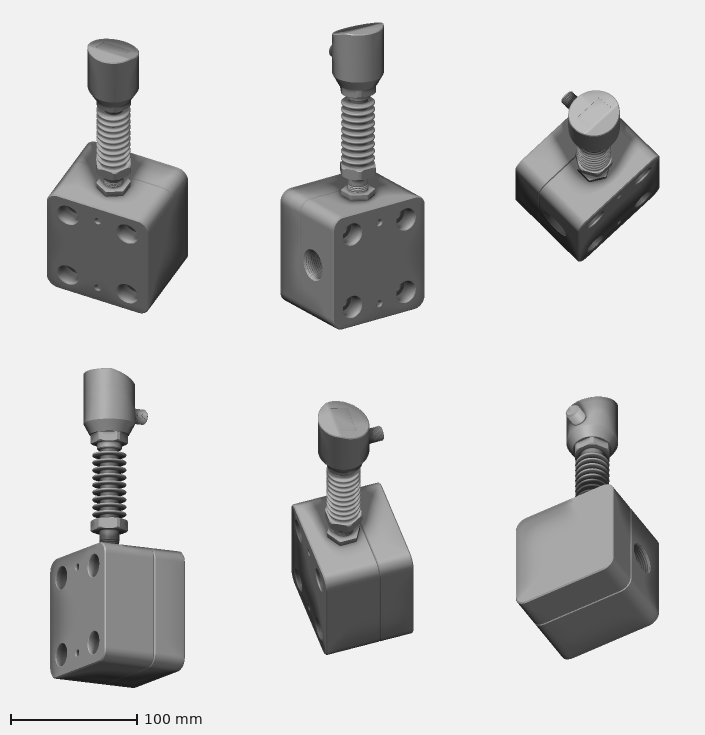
import cadquery as cq
import math


block_width = 90.0
block_height = 97.0
front_depth = 44.9
rear_depth = 28.0
front_face_y = -29.0
split_y = front_face_y + front_depth
block_corner_radius = 10.0
outer_chamfer = 1.0
split_chamfer = 0.7
block_mid_z = block_height / 2

screw_offset_x = 26.0
screw_offset_z = 31.2
counterbore_d = 18.0
counterbore_mouth_d = 19.0
counterbore_depth = 14.6
clearance_d = 11.0
tapped_d = 8.5
tapped_depth = 19.5
drill_point_angle = 118

small_hole_offset_z = 34.9
small_hole_d = 5.0
small_hole_mouth_d = 6.0
small_hole_depth = 9.8

port_major_d = 26.0
port_minor_d = 24.1
port_pitch = 1.8
port_turns = 11
port_y = front_face_y + 27.3

adapter_flats = 24.0
adapter_corner_d = 27.0
adapter_height = 4.9
adapter_top_z = block_height + adapter_height

shaft_d = 15.8
shaft_thread_depth = 0.5
shaft_pitch = 1.5
shaft_turns = 4
neck_hex_flats = 27.0
neck_hex_corner_d = 30.0
hex_chamfer = 1.0
lower_hex_z = 115.5
lower_hex_height = 8.5
core_d = 15.0
fin_d = 27.0
fin_thickness = 2.0
fin_count = 9
fin_pitch = 6.0
first_fin_mid_z = 129.2
root_radius = 0.7
collar_d = 19.7
collar_z = 181.6
collar_chamfer = 0.7
upper_hex_z = 186.5
upper_hex_height = 7.3

head_d = 41.0
housing_z = upper_hex_z + upper_hex_height
housing_base_d = 31.5
cone_top_z = 202.5
ring_z = 223.5
cap_z = 226.5
top_z = 243.8

slope_angle = 20
slope_start_y = -8.3
slope_blend_radius = 6.8
cap_chamfer = 0.7
window_width = 24.6
window_front_y = -6.8
window_rear_y = 7.0
window_depth = 0.2

connector_d = 12.2
connector_thread_depth = 0.7
connector_pitch = 1.0
connector_turns = 10
connector_tip_chamfer = 1.2
connector_tip_y = 32.2
connector_z = 211.4
connector_thread_start_y = connector_tip_y - connector_tip_chamfer - connector_turns * connector_pitch


def cylinder(diameter, bottom_z, height):
    """Upright cylinder on the Z axis."""
    return cq.Workplane("XY", origin=(0, 0, bottom_z)).circle(diameter / 2).extrude(height)


def threaded_cylinder(major_d, minor_d, pitch, turns):
    """Cylinder along +Z from the origin with one V-groove ring per thread turn."""
    profile = cq.Workplane("XZ").lineTo(major_d / 2, 0)
    for turn in range(turns):
        profile = profile.lineTo(minor_d / 2, (turn + 0.5) * pitch)
        profile = profile.lineTo(major_d / 2, (turn + 1) * pitch)
    return profile.lineTo(0, turns * pitch).close().revolve(360, (0, 0), (0, 1))


def trimmed_hexagon(flats, corner_d, height):
    """Hexagon along +Z with corners on +X and -X turned down to corner_d."""
    hexagon = cq.Workplane("XY").polygon(6, flats / math.cos(math.radians(30))).extrude(height)
    return hexagon.intersect(cylinder(corner_d, 0, height))


def blind_drill(diameter, depth):
    """Drill shape running from the origin towards +Y, ending in a conical point."""
    radius = diameter / 2
    point_length = radius / math.tan(math.radians(drill_point_angle / 2))
    profile = cq.Workplane("XY").lineTo(radius, 0).lineTo(radius, depth)
    return profile.lineTo(0, depth + point_length).close().revolve(360, (0, 0), (0, 1))


def countersink(mouth_d, hole_d):
    """45 degree cone running from the origin towards +Y that widens a hole of hole_d to mouth_d."""
    depth = (mouth_d - hole_d) / 2
    return cq.Workplane("XZ").circle(mouth_d / 2).extrude(-depth, taper=45)


def block_half(start_y, depth, front_chamfer, rear_chamfer):
    """Rounded block half that reaches from start_y towards +Y, chamfered at both ends."""
    body = cq.Workplane("XY").box(block_width, depth, block_height)
    body = body.edges("|Y").fillet(block_corner_radius)
    body = body.faces("<Y").chamfer(front_chamfer)
    body = body.faces(">Y").chamfer(rear_chamfer)
    return body.translate((0, start_y + depth / 2, block_mid_z))


def screw_positions():
    """X and Z of the four clamping screws."""
    return [
        (side * screw_offset_x, block_mid_z + level * screw_offset_z)
        for side in (-1, 1)
        for level in (-1, 1)
    ]


def make_front_block():
    body = block_half(front_face_y, front_depth, outer_chamfer, split_chamfer)

    face = cq.Workplane("XZ", origin=(0, front_face_y, 0)).pushPoints(screw_positions())
    body = body.cut(face.circle(clearance_d / 2).extrude(-front_depth))
    body = body.cut(face.circle(counterbore_d / 2).extrude(-counterbore_depth))
    counterbore_mouth = countersink(counterbore_mouth_d, counterbore_d)
    for x, z in screw_positions():
        body = body.cut(counterbore_mouth.translate((x, front_face_y, z)))

    small_hole = blind_drill(small_hole_d, small_hole_depth)
    small_hole = small_hole.union(countersink(small_hole_mouth_d, small_hole_d))
    for level in (-1, 1):
        hole_z = block_mid_z + level * small_hole_offset_z
        body = body.cut(small_hole.translate((0, front_face_y, hole_z)))

    thread = threaded_cylinder(port_minor_d, port_major_d, port_pitch, port_turns)
    thread = thread.rotate((0, 0, 0), (0, 1, 0), 90)
    mouth = countersink(port_major_d, port_minor_d).rotate((0, 0, 0), (0, 0, 1), -90)
    port_mouth_center = (-block_width / 2, port_y, block_mid_z)
    body = body.cut(thread.translate(port_mouth_center))
    return body.cut(mouth.translate(port_mouth_center))


def make_rear_block():
    body = block_half(split_y, rear_depth, split_chamfer, outer_chamfer)
    for x, z in screw_positions():
        body = body.cut(blind_drill(tapped_d, tapped_depth).translate((x, split_y, z)))
    return body


def make_adapter():
    hexagon = trimmed_hexagon(adapter_flats, adapter_corner_d, adapter_height)
    hexagon = hexagon.rotate((0, 0, 0), (0, 0, 1), 90).translate((0, 0, block_height))
    return hexagon.cut(cylinder(shaft_d, block_height, adapter_height))


def neck_hexagon(bottom_z, height, chamfer_top):
    """Wrench hexagon of the neck with turned lower, and optionally upper, corners."""
    hexagon = trimmed_hexagon(neck_hex_flats, neck_hex_corner_d, height)
    turned = cylinder(neck_hex_corner_d, 0, height).faces("<Z").chamfer(hex_chamfer)
    if chamfer_top:
        turned = turned.faces(">Z").chamfer(hex_chamfer)
    return hexagon.intersect(turned).translate((0, 0, bottom_z))


def finned_core():
    """Core between the lower hexagon and the collar, with round-tipped fins and rounded roots."""
    core_z = lower_hex_z + lower_hex_height
    core_r = core_d / 2
    root_r = core_r + root_radius
    tip_r = fin_d / 2
    half_fin = fin_thickness / 2
    root_bulge = root_radius * (1 - math.sqrt(0.5))

    profile = (
        cq.Workplane("XZ")
        .moveTo(0, core_z)
        .lineTo(root_r, core_z)
        .threePointArc((core_r + root_bulge, core_z + root_bulge), (core_r, core_z + root_radius))
    )
    for index in range(fin_count):
        mid_z = first_fin_mid_z + index * fin_pitch
        lower_z = mid_z - half_fin
        upper_z = mid_z + half_fin
        profile = (
            profile.lineTo(core_r, lower_z - root_radius)
            .threePointArc((core_r + root_bulge, lower_z - root_bulge), (root_r, lower_z))
            .lineTo(tip_r - half_fin, lower_z)
            .threePointArc((tip_r, mid_z), (tip_r - half_fin, upper_z))
            .lineTo(root_r, upper_z)
            .threePointArc((core_r + root_bulge, upper_z + root_bulge), (core_r, upper_z + root_radius))
        )
    profile = (
        profile.lineTo(core_r, collar_z - root_radius)
        .threePointArc((core_r + root_bulge, collar_z - root_bulge), (root_r, collar_z))
        .lineTo(0, collar_z)
        .close()
    )
    return profile.revolve(360, (0, 0), (0, 1))


def make_neck():
    thread_top_z = adapter_top_z + shaft_turns * shaft_pitch
    thread_minor_d = shaft_d - 2 * shaft_thread_depth
    thread = threaded_cylinder(shaft_d, thread_minor_d, shaft_pitch, shaft_turns)
    collar = cylinder(collar_d, collar_z, upper_hex_z - collar_z).faces("<Z").chamfer(collar_chamfer)

    neck = cylinder(shaft_d, block_height, adapter_height)
    neck = neck.union(thread.translate((0, 0, adapter_top_z)))
    neck = neck.union(cylinder(shaft_d, thread_top_z, lower_hex_z - thread_top_z))
    neck = neck.union(neck_hexagon(lower_hex_z, lower_hex_height, True))
    neck = neck.union(finned_core())
    neck = neck.union(collar)
    return neck.union(neck_hexagon(upper_hex_z, upper_hex_height, False))


def make_connector():
    """Threaded connector stub along +Y, part of the housing."""
    minor_d = connector_d - 2 * connector_thread_depth
    thread = threaded_cylinder(connector_d, minor_d, connector_pitch, connector_turns)
    thread = thread.rotate((0, 0, 0), (1, 0, 0), -90).translate((0, connector_thread_start_y, 0))
    shank = cq.Workplane("XZ").circle(connector_d / 2).extrude(-connector_thread_start_y)
    tip_y = connector_tip_y - connector_tip_chamfer
    tip = cq.Workplane("XZ", origin=(0, tip_y, 0)).circle(connector_d / 2)
    tip = tip.extrude(-connector_tip_chamfer, taper=45)
    return shank.union(thread).union(tip).translate((0, 0, connector_z))


def make_housing():
    profile = (
        cq.Workplane("XZ")
        .moveTo(0, housing_z)
        .lineTo(housing_base_d / 2, housing_z)
        .lineTo(head_d / 2, cone_top_z)
        .lineTo(head_d / 2, ring_z)
        .lineTo(0, ring_z)
        .close()
    )
    return profile.revolve(360, (0, 0), (0, 1)).union(make_connector())


def make_ring():
    return cylinder(head_d, ring_z, cap_z - ring_z)


def make_cap():
    reach = head_d
    slope = math.radians(slope_angle)
    slope_end_z = top_z - (reach - slope_start_y) * math.tan(slope)
    outline = (
        cq.Workplane("YZ")
        .moveTo(-reach, housing_z)
        .lineTo(-reach, top_z)
        .lineTo(slope_start_y, top_z)
        .lineTo(reach, slope_end_z)
        .lineTo(reach, housing_z)
        .close()
        .extrude(reach, both=True)
    )
    blend_point = (0, slope_start_y, top_z)
    outline = outline.edges(cq.selectors.NearestToPointSelector(blend_point)).fillet(slope_blend_radius)
    cap = cylinder(head_d, cap_z, top_z - cap_z).intersect(outline)
    rim = cap.faces("not <Z").edges("not |X").edges("not |Z").edges("not <Z")
    cap = rim.chamfer(cap_chamfer)

    window_mid_y = (window_front_y + window_rear_y) / 2
    window_mid_z = top_z - (window_mid_y - slope_start_y) * math.tan(slope)
    slope_plane = cq.Plane((0, window_mid_y, window_mid_z), (1, 0, 0), (0, math.sin(slope), math.cos(slope)))
    window_length = (window_rear_y - window_front_y) / math.cos(slope)
    window = cq.Workplane(slope_plane).rect(window_width, window_length).extrude(-window_depth)
    return cap.cut(window)


front_block = make_front_block()
rear_block = make_rear_block()
adapter = make_adapter()
neck = make_neck()
housing = make_housing()
ring = make_ring()
cap = make_cap()

result = cq.Compound.makeCompound([
    front_block.val(),
    rear_block.val(),
    adapter.val(),
    neck.val(),
    housing.val(),
    ring.val(),
    cap.val(),
])